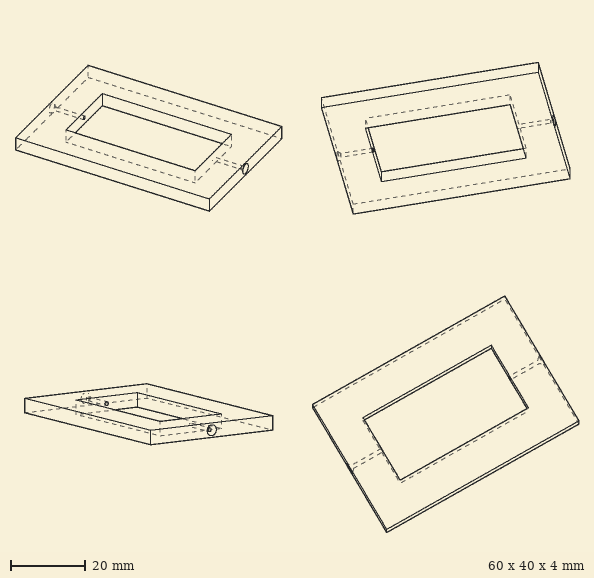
import cadquery as cq

length = 60.0
border = length / 6
width = 4 * border
thickness = 0.4 * border
window_length = length - 2 * border
window_width = width - 2 * border

hole_diameter = 1.0
countersink_diameter = 3.0
countersink_angle = 90.0


def make_frame():
    """Flat plate with a centred rectangular window."""
    plate = cq.Workplane("XY").box(length, width, thickness)
    window = cq.Workplane("XY").box(window_length, window_width, thickness)
    return plate.cut(window)


def add_end_hole(body, end_face):
    """Drill one short side from its outer face, through to the window."""
    return (
        body.faces(end_face)
        .workplane(centerOption="CenterOfMass")
        .cskHole(hole_diameter, countersink_diameter, countersink_angle, depth=border)
    )


result = make_frame()
for end_face in ("<X", ">X"):
    result = add_end_hole(result, end_face)